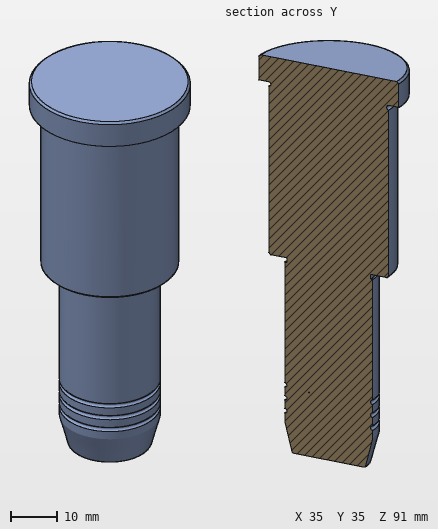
import cadquery as cq
import math


total_length = 91.0
head_diameter = 35.0
head_height = 6.0
body_diameter = 30.0
body_end_depth = 46.0
shaft_diameter = 22.0
tip_length = 7.0
tip_taper_angle = 15.0
edge_chamfer = 0.5
tip_edge_radius = 0.5

neck_length = 1.0
neck_diameter = 21.0

groove_radius = 0.5
ring_groove_count = 3
ring_groove_pitch = 3.0
first_ring_groove_depth = 75.0

head_underside = total_length - head_height
body_underside = total_length - body_end_depth
neck_bottom = body_underside - neck_length
first_ring_groove_top = total_length - first_ring_groove_depth


def cylinder(diameter, bottom, top):
    """Solid cylinder on the Z axis between two levels."""
    return cq.Workplane("XY").workplane(offset=bottom).circle(diameter / 2).extrude(top - bottom)


def revolve_about_z(profile):
    """Full revolution of a closed XZ profile about the Z axis."""
    return profile.revolve(360, (0, 0, 0), (0, 1, 0))


def make_head():
    head = cylinder(head_diameter, head_underside, total_length)
    return head.faces(">Z").edges().chamfer(edge_chamfer)


def make_body():
    body = cylinder(body_diameter, body_underside, head_underside)
    return body.faces("<Z").edges().chamfer(edge_chamfer)


def make_tip():
    """Tapered lead-in with a rounded lower edge."""
    shaft_radius = shaft_diameter / 2
    end_radius = shaft_radius - tip_length * math.tan(math.radians(tip_taper_angle))
    profile = (
        cq.Workplane("XZ")
        .lineTo(end_radius, 0)
        .lineTo(shaft_radius, tip_length)
        .lineTo(0, tip_length)
        .close()
    )
    return revolve_about_z(profile).faces("<Z").edges().fillet(tip_edge_radius)


def groove_ring(diameter, top):
    """Ring to remove, whose semicircular section bulges inward from the given diameter."""
    surface_radius = diameter / 2
    deepest_point = (surface_radius - groove_radius, top - groove_radius)
    lower_edge = (surface_radius, top - 2 * groove_radius)
    profile = (
        cq.Workplane("XZ")
        .moveTo(surface_radius, top)
        .threePointArc(deepest_point, lower_edge)
        .close()
    )
    return revolve_about_z(profile)


neck = cylinder(neck_diameter, neck_bottom, body_underside)
shaft = cylinder(shaft_diameter, tip_length, neck_bottom)
result = make_head().union(make_body()).union(neck).union(shaft).union(make_tip())

result = result.cut(groove_ring(body_diameter, head_underside))

for index in range(ring_groove_count):
    groove_top = first_ring_groove_top - index * ring_groove_pitch
    result = result.cut(groove_ring(shaft_diameter, groove_top))